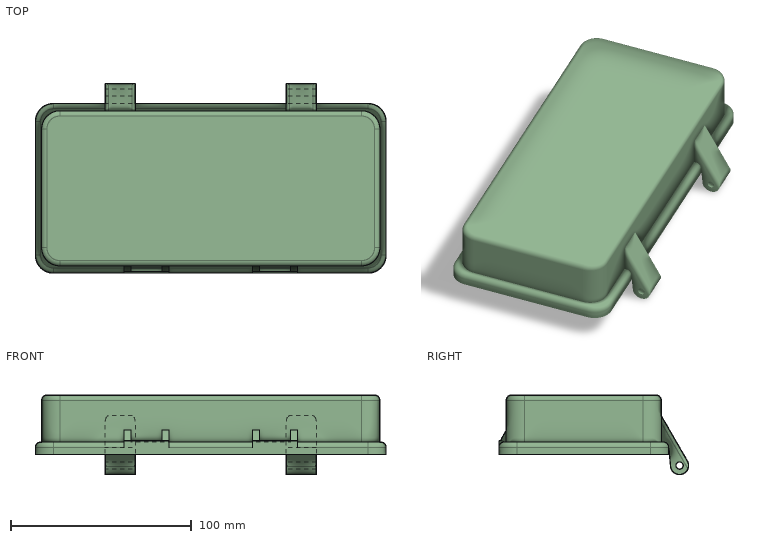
import cadquery as cq
import math

RIM_LENGTH = 194.0
RIM_WIDTH = 93.9
RIM_HEIGHT = 7.0

BOX_END_INSET = 3.5
BOX_SIDE_INSET = 4.0
BOX_LENGTH = RIM_LENGTH - 2 * BOX_END_INSET
BOX_WIDTH = RIM_WIDTH - 2 * BOX_SIDE_INSET
BOX_TOP = 33.0

CORNER_RADIUS = 10.0
EDGE_RADIUS = 3.0
RIM_FILLET_START = RIM_HEIGHT - EDGE_RADIUS

HINGE_SPACING = 100.1
HINGE_WIDTH = 16.7
HINGE_RADIUS = 5.0
HINGE_HOLE_DIAMETER = 3.9
HINGE_OFFSET = 6.0
HINGE_DROP = 6.0
HINGE_SLOPE = 60.0
HINGE_EDGE_RADIUS = 2.0
HINGE_BAR_DEPTH = 38.8

CATCH_SPACING = 71.0
CATCH_WIDTH = 24.8
CATCH_RIB_WIDTH = 3.9
CATCH_RIB_TOP = 13.5
LIP_TOP = 8.0
LIP_FRONT_HEIGHT = 7.5
LIP_CREST_DEPTH = 1.0

RIM_FRONT = -RIM_WIDTH / 2
RIM_BACK = RIM_WIDTH / 2
BOX_FRONT = -BOX_WIDTH / 2
BOX_BACK = BOX_WIDTH / 2


def rounded_block(length, width, height):
    """Block on Z = 0 with rounded vertical corners and a rounded top edge."""
    block = cq.Workplane("XY").rect(length, width).extrude(height)
    block = block.edges("|Z").fillet(CORNER_RADIUS)
    return block.faces(">Z").edges().fillet(EDGE_RADIUS)


def hinge_arm(x_center):
    """Sloped arm from the box back wall down to a round pivot eye."""
    pivot_y = RIM_BACK + HINGE_OFFSET
    pivot_z = -HINGE_DROP
    slope = math.radians(HINGE_SLOPE)

    back_y = pivot_y + HINGE_RADIUS * math.sin(slope)
    back_z = pivot_z + HINGE_RADIUS * math.cos(slope)
    wall_z = back_z + (back_y - BOX_BACK) * math.tan(slope)

    rise = RIM_FILLET_START + HINGE_DROP
    reach = math.hypot(HINGE_OFFSET, rise)
    tilt = math.atan2(HINGE_OFFSET, rise) - math.asin(HINGE_RADIUS / reach)
    front_y = pivot_y - HINGE_RADIUS * math.cos(tilt)
    front_z = pivot_z - HINGE_RADIUS * math.sin(tilt)

    arm = (
        cq.Workplane("YZ", origin=(x_center - HINGE_WIDTH / 2, 0, 0))
        .moveTo(BOX_BACK, RIM_FILLET_START)
        .lineTo(BOX_BACK, wall_z)
        .lineTo(back_y, back_z)
        .threePointArc((pivot_y, pivot_z - HINGE_RADIUS), (front_y, front_z))
        .lineTo(RIM_BACK, RIM_FILLET_START)
        .close()
        .extrude(HINGE_WIDTH)
    )

    along_slope = cq.Plane(
        origin=(x_center, back_y, back_z),
        xDir=(1, 0, 0),
        normal=(0, -math.cos(slope), math.sin(slope)),
    )
    bar = (
        cq.Workplane(along_slope)
        .center(0, -HINGE_BAR_DEPTH / 2)
        .rect(HINGE_WIDTH, HINGE_BAR_DEPTH)
        .extrude(HINGE_BAR_DEPTH, both=True)
    )
    outer_face = bar.faces(cq.selectors.DirectionMinMaxSelector(along_slope.yDir))
    long_edges = outer_face.edges(cq.selectors.ParallelDirSelector(along_slope.zDir))
    rounded_bar = long_edges.fillet(HINGE_EDGE_RADIUS)

    hole = (
        cq.Workplane("YZ", origin=(x_center - HINGE_WIDTH / 2, pivot_y, pivot_z))
        .circle(HINGE_HOLE_DIAMETER / 2)
        .extrude(HINGE_WIDTH)
    )
    return arm.intersect(rounded_bar).cut(hole)


def latch_lip(x_center):
    """Low peaked ridge that replaces the rim fillet along the catch."""
    inner_y = RIM_FRONT + EDGE_RADIUS
    return (
        cq.Workplane("YZ", origin=(x_center - CATCH_WIDTH / 2, 0, 0))
        .moveTo(RIM_FRONT, RIM_FILLET_START)
        .lineTo(RIM_FRONT, LIP_FRONT_HEIGHT)
        .lineTo(RIM_FRONT + LIP_CREST_DEPTH, LIP_TOP)
        .lineTo(inner_y, RIM_HEIGHT)
        .lineTo(inner_y, RIM_FILLET_START)
        .close()
        .extrude(CATCH_WIDTH)
    )


def latch_rib(x_center):
    """Sloped gusset from the crest of the lip up to the box front wall."""
    crest_y = RIM_FRONT + LIP_CREST_DEPTH
    return (
        cq.Workplane("YZ", origin=(x_center - CATCH_RIB_WIDTH / 2, 0, 0))
        .moveTo(crest_y, RIM_FILLET_START)
        .lineTo(crest_y, LIP_TOP)
        .lineTo(BOX_FRONT, CATCH_RIB_TOP)
        .lineTo(BOX_FRONT, RIM_FILLET_START)
        .close()
        .extrude(CATCH_RIB_WIDTH)
    )


def latch_catch(x_center):
    """Lip on the rim front with a gusset at each end."""
    catch = latch_lip(x_center)
    rib_shift = (CATCH_WIDTH - CATCH_RIB_WIDTH) / 2
    for rib_side in (-1, 1):
        catch = catch.union(latch_rib(x_center + rib_side * rib_shift))
    return catch


lid = rounded_block(RIM_LENGTH, RIM_WIDTH, RIM_HEIGHT)
lid = lid.union(rounded_block(BOX_LENGTH, BOX_WIDTH, BOX_TOP))
for side in (-1, 1):
    lid = lid.union(hinge_arm(side * HINGE_SPACING / 2))
    lid = lid.union(latch_catch(side * CATCH_SPACING / 2))

result = cq.Compound.makeCompound([lid.val()])